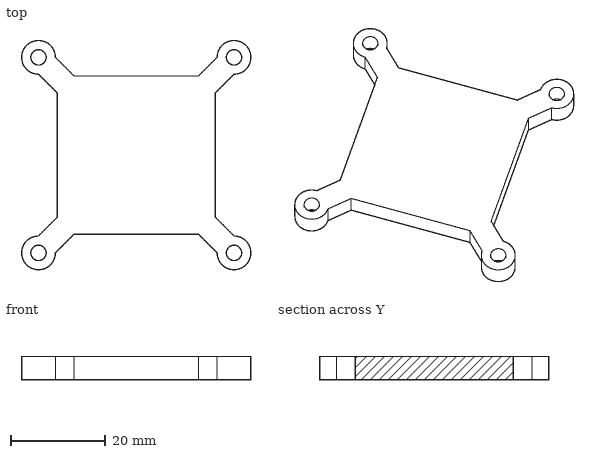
import cadquery as cq
import math

overall_width = 48.6
thickness = 5.0
plate_width = 33.55
boss_diameter = 7.2
hole_diameter = 3.2

boss_spacing = overall_width - boss_diameter
arm_width = boss_diameter / math.sqrt(2)
arm_length = boss_spacing * math.sqrt(2)


def make_diagonal_arm(angle):
    """Bar through the plate centre, ending at two opposite boss centres."""
    bar = cq.Workplane("XY").rect(arm_length, arm_width).extrude(thickness)
    return bar.rotate((0, 0, 0), (0, 0, 1), angle)


def make_corner_cylinders(diameter):
    """Upright cylinders at the four boss centres."""
    centres = cq.Workplane("XY").rect(boss_spacing, boss_spacing, forConstruction=True).vertices()
    return centres.circle(diameter / 2).extrude(thickness)


result = cq.Workplane("XY").rect(plate_width, plate_width).extrude(thickness)

for arm_angle in (45, -45):
    result = result.union(make_diagonal_arm(arm_angle))

result = result.union(make_corner_cylinders(boss_diameter))
result = result.cut(make_corner_cylinders(hole_diameter))